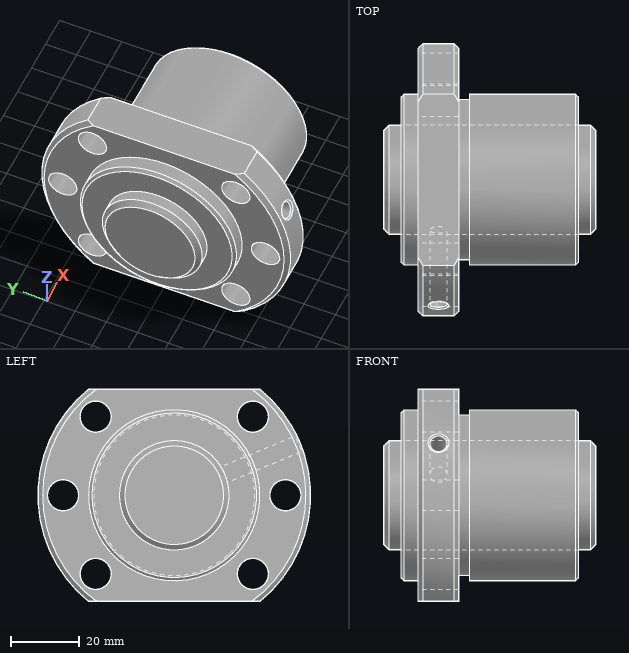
import cadquery as cq
import math

shaft_diameter = 32.0
shaft_length = 62.0
shaft_chamfer = 1.6

shaft_overhang = 5.0
body_diameter = 50.0
body_chamfer = 0.95
neck_diameter = 47.0
neck_length = 3.0
flange_diameter = 79.75
flange_width = shaft_length
flange_thickness = 12.0
flange_chamfer = 1.4
pilot_length = 5.0

housing_start = shaft_overhang
housing_end = shaft_length - shaft_overhang
flange_start = housing_start + pilot_length
flange_end = flange_start + flange_thickness
flange_middle = flange_start + flange_thickness / 2
barrel_start = flange_end + neck_length

mounting_hole_diameter = 9.0
mounting_circle_diameter = 65.0
mounting_hole_pitch = 45.0
mounting_angles = [
    side + step * mounting_hole_pitch for side in (0, 180) for step in (-1, 0, 1)
]

oil_hole_diameter = 4.95
oil_hole_chamfer = 0.55
oil_hole_angle = 180 - mounting_hole_pitch / 2


def cylinder_x(diameter, start, end):
    """Cylinder on the X axis between two X positions."""
    return cq.Workplane("YZ").workplane(offset=start).circle(diameter / 2).extrude(end - start)


def make_flange():
    """Chamfered disc with a flat on the top and the bottom."""
    disc = cylinder_x(flange_diameter, flange_start, flange_end).edges().chamfer(flange_chamfer)
    flats = cq.Workplane("XY").box(2 * shaft_length, flange_diameter, flange_width)
    return disc.intersect(flats)


def make_mounting_holes():
    """Cutter for the holes that pass through the flange."""
    radius = mounting_circle_diameter / 2
    centres = [
        (radius * math.cos(math.radians(angle)), radius * math.sin(math.radians(angle)))
        for angle in mounting_angles
    ]
    return (
        cq.Workplane("YZ").workplane(offset=flange_start)
        .pushPoints(centres).circle(mounting_hole_diameter / 2).extrude(flange_thickness)
    )


def make_oil_hole():
    """Cutter for the countersunk hole from the flange rim to the shaft bore."""
    angle = math.radians(oil_hole_angle)
    inward = cq.Vector(0, -math.cos(angle), -math.sin(angle))
    rim_point = cq.Vector(flange_middle, 0, 0) - inward * (flange_diameter / 2)
    hole_radius = oil_hole_diameter / 2
    hole = cq.Solid.makeCylinder(hole_radius, flange_diameter / 2, rim_point, inward)
    countersink = cq.Solid.makeCone(
        hole_radius + oil_hole_chamfer, hole_radius, oil_hole_chamfer, rim_point, inward
    )
    return cq.Workplane(obj=hole.fuse(countersink))


def make_housing():
    """Flanged sleeve with its bore, mounting holes and oil hole."""
    pilot = cylinder_x(body_diameter, housing_start, flange_start).faces("<X").chamfer(body_chamfer)
    neck = cylinder_x(neck_diameter, flange_end, barrel_start)
    barrel = cylinder_x(body_diameter, barrel_start, housing_end).faces(">X").chamfer(body_chamfer)
    bore = cylinder_x(shaft_diameter, housing_start, housing_end)
    sleeve = pilot.union(make_flange()).union(neck).union(barrel)
    return sleeve.cut(make_mounting_holes()).cut(make_oil_hole()).cut(bore)


def make_shaft():
    """Plain round shaft, chamfered at both ends."""
    return cylinder_x(shaft_diameter, 0, shaft_length).faces("<X or >X").chamfer(shaft_chamfer)


housing = make_housing()
shaft = make_shaft()
result = cq.Compound.makeCompound([housing.solids().val(), shaft.solids().val()])